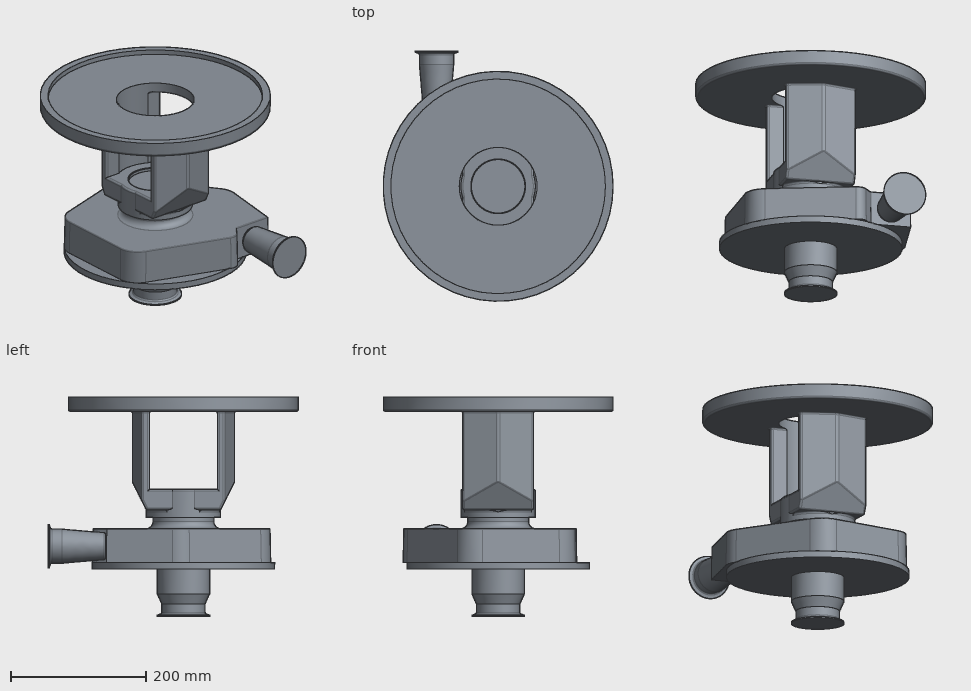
import math

import cadquery as cq


PICK_MARGIN = 1.0

INLET_CONE_BOTTOM = 18.5
INLET_CONE_TOP = 33.5
BACKPLATE_BOTTOM = 70.0
CASING_BOTTOM = 79.5
CASING_TOP = 129.7
NECK_FLARE_TOP = 140.0
COLLAR_BOTTOM = 146.5
YOKE_BOTTOM = 157.5
YOKE_FLOOR = 188.0
PLATE_BOTTOM = 303.0
PLATE_TOP = 324.5

PLATE_DIAMETER = 340.0
PLATE_RECESS_DIAMETER = 317.0
PLATE_RECESS_DEPTH = 7.0
PLATE_BORE_DIAMETER = 115.0
PLATE_EDGE_FILLET = 3.0

YOKE_HALF_WIDTH = 52.5
YOKE_SIDE_Y = 61.0
YOKE_RIDGE_Y = 76.0
YOKE_FOOT_Y = 55.0
YOKE_SLOPE_RISE = 2.0
WINDOW_HALF_WIDTH = 50.0
YOKE_RIDGE_FILLET = 10.0
YOKE_EDGE_FILLET = 3.0
LEG_ROOT_FILLET = 2.5

COLLAR_DIAMETER = 110.0
NECK_DIAMETER = 90.5
SHAFT_RECESS_DIAMETER = 79.0
SHAFT_RECESS_DEPTH = 5.0
SHAFT_RECESS_CHAMFER = 1.0

PENTAGON_APOTHEM = 115.3
STEP_FACE_APOTHEM = 118.0
OUTLET_FACE_Y = 114.0
VOLUTE_APOTHEM = 140.7
VOLUTE_ANGLE = 170.0
FIRST_FACE_ANGLE = 215.0
PENTAGON_STEP = 72.0
CASING_DRAFT = 1.0
CASING_CORNER_FILLET = 33.0
OUTLET_CORNER_FILLET = 15.0
CASING_TOP_FILLET = 1.0
BACKPLATE_DIAMETER = 270.0

FLANGE_RIM = 1.8
FLANGE_BEVEL_ANGLE = 20.0
FLANGE_ROOT_FILLET = 2.5
INLET_DIAMETER = 78.0
INLET_NECK_DIAMETER = 64.5
INLET_FLANGE_DIAMETER = 78.0
OUTLET_X = -91.0
OUTLET_Z = 103.8
OUTLET_END_Y = 200.0
OUTLET_FLANGE_DIAMETER = 64.0
OUTLET_PIPE_DIAMETER = 51.0
OUTLET_CONE_START_Y = 179.7
OUTLET_TIP_Y = 115.5
OUTLET_TIP_DIAMETER = 40.0
OUTLET_TIP_ROUND = 2.0
OUTLET_EMBED = 15.0


def disc(diameter, bottom, top):
    """Cylinder on the shaft axis."""
    return cq.Workplane("XY").workplane(offset=bottom).circle(diameter / 2).extrude(top - bottom)


def mounting_plate():
    plate = disc(PLATE_DIAMETER, PLATE_BOTTOM, PLATE_TOP).faces("<Z").edges().fillet(PLATE_EDGE_FILLET)
    return plate.cut(disc(PLATE_RECESS_DIAMETER, PLATE_TOP - PLATE_RECESS_DEPTH, PLATE_TOP))


def yoke():
    """Six-sided column with sloping undersides."""
    half_outline = [(YOKE_HALF_WIDTH, YOKE_SIDE_Y), (0, YOKE_RIDGE_Y), (-YOKE_HALF_WIDTH, YOKE_SIDE_Y)]
    other_half = [(-x, -y) for x, y in half_outline]
    column = (
        cq.Workplane("XY").workplane(offset=YOKE_BOTTOM)
        .polyline(half_outline + other_half).close()
        .extrude(PLATE_BOTTOM - YOKE_BOTTOM)
    )
    slope_top = YOKE_BOTTOM + (YOKE_RIDGE_Y - YOKE_FOOT_Y) * YOKE_SLOPE_RISE
    silhouette = (
        cq.Workplane("YZ")
        .polyline([
            (-YOKE_FOOT_Y, YOKE_BOTTOM), (YOKE_FOOT_Y, YOKE_BOTTOM),
            (YOKE_RIDGE_Y, slope_top), (YOKE_RIDGE_Y, PLATE_BOTTOM),
            (-YOKE_RIDGE_Y, PLATE_BOTTOM), (-YOKE_RIDGE_Y, slope_top),
        ]).close()
        .extrude(YOKE_HALF_WIDTH, both=True)
    )
    body = column.intersect(silhouette)
    ridge_half_width = YOKE_RIDGE_FILLET / 2
    ridges = cq.selectors.BoxSelector(
        (-ridge_half_width, -YOKE_RIDGE_Y - PICK_MARGIN, slope_top + PICK_MARGIN),
        (ridge_half_width, YOKE_RIDGE_Y + PICK_MARGIN, PLATE_BOTTOM - PICK_MARGIN))
    body = body.edges(ridges).fillet(YOKE_RIDGE_FILLET)
    below_plate = cq.selectors.BoxSelector(
        (-YOKE_HALF_WIDTH - PICK_MARGIN, -YOKE_RIDGE_Y - PICK_MARGIN, YOKE_BOTTOM - PICK_MARGIN),
        (YOKE_HALF_WIDTH + PICK_MARGIN, YOKE_RIDGE_Y + PICK_MARGIN, PLATE_BOTTOM - PICK_MARGIN))
    return body.edges(below_plate - ridges).fillet(YOKE_EDGE_FILLET)


def collar():
    return disc(COLLAR_DIAMETER, COLLAR_BOTTOM, YOKE_FLOOR)


def collar_root_fillet():
    """Concave round under the yoke, running round the collar."""
    radius = COLLAR_DIAMETER / 2
    bottom = YOKE_BOTTOM - YOKE_EDGE_FILLET
    diagonal = YOKE_EDGE_FILLET * math.sqrt(0.5)
    flare = (
        cq.Workplane("XZ").moveTo(0, bottom).lineTo(radius, bottom)
        .threePointArc(
            (radius + YOKE_EDGE_FILLET - diagonal, bottom + diagonal),
            (radius + YOKE_EDGE_FILLET, YOKE_BOTTOM))
        .lineTo(0, YOKE_BOTTOM).close().revolve(360, (0, 0), (0, 1))
    )
    foot = cq.Workplane("XY").workplane(offset=bottom).rect(
        2 * (YOKE_HALF_WIDTH - YOKE_EDGE_FILLET), 2 * YOKE_FOOT_Y
    ).extrude(YOKE_EDGE_FILLET)
    return flare.intersect(foot)


def upper_frame():
    """Plate, yoke and collar with the window through X; its lower and side edges are rounded."""
    window_height = PLATE_BOTTOM - YOKE_FLOOR
    window = cq.Workplane("XY").workplane(offset=YOKE_FLOOR).rect(
        PLATE_DIAMETER, 2 * WINDOW_HALF_WIDTH).extrude(window_height)
    legs = yoke().union(collar()).cut(window)
    window_edges = cq.selectors.BoxSelector(
        (-COLLAR_DIAMETER, -WINDOW_HALF_WIDTH - PICK_MARGIN, YOKE_FLOOR - PICK_MARGIN),
        (COLLAR_DIAMETER, WINDOW_HALF_WIDTH + PICK_MARGIN, PLATE_BOTTOM - PICK_MARGIN))
    legs = legs.edges(window_edges).edges("not(|X)").fillet(YOKE_EDGE_FILLET)
    frame = legs.union(mounting_plate())
    root_edges = cq.selectors.BoxSelector(
        (-YOKE_HALF_WIDTH - PICK_MARGIN, -YOKE_RIDGE_Y, PLATE_BOTTOM - PICK_MARGIN),
        (YOKE_HALF_WIDTH + PICK_MARGIN, YOKE_RIDGE_Y, PLATE_BOTTOM + PICK_MARGIN))
    frame = frame.edges(root_edges).fillet(LEG_ROOT_FILLET)
    return frame.union(collar_root_fillet())


def face_crossing(first, second):
    """Corner point of two upright faces, each given as (normal angle, distance from the axis)."""
    first_angle, first_distance = math.radians(first[0]), first[1]
    second_angle, second_distance = math.radians(second[0]), second[1]
    turn = math.sin(second_angle - first_angle)
    x = (first_distance * math.sin(second_angle) - second_distance * math.sin(first_angle)) / turn
    y = (second_distance * math.cos(first_angle) - first_distance * math.cos(second_angle)) / turn
    return x, y


def casing():
    """Drafted pentagon with the outlet block on its -X +Y side."""
    faces = [(FIRST_FACE_ANGLE + PENTAGON_STEP * i, PENTAGON_APOTHEM) for i in range(4)]
    faces += [(FIRST_FACE_ANGLE + PENTAGON_STEP * 4, STEP_FACE_APOTHEM)]
    faces += [(90, OUTLET_FACE_Y), (VOLUTE_ANGLE, VOLUTE_APOTHEM)]
    corners = [face_crossing(faces[i - 1], faces[i]) for i in range(len(faces))]
    block = (
        cq.Workplane("XY").workplane(offset=CASING_BOTTOM)
        .polyline(corners).close()
        .extrude(CASING_TOP - CASING_BOTTOM, taper=CASING_DRAFT)
    )
    middle = (CASING_BOTTOM + CASING_TOP) / 2
    corner_fillets = 4 * [CASING_CORNER_FILLET] + [OUTLET_CORNER_FILLET]
    for (x, y), radius in zip(corners, corner_fillets):
        corner_edge = cq.selectors.NearestToPointSelector((x, y, middle))
        block = block.edges(corner_edge).fillet(radius)
    return block.faces(">Z").edges().fillet(CASING_TOP_FILLET)


def backplate():
    return disc(BACKPLATE_DIAMETER, BACKPLATE_BOTTOM, CASING_BOTTOM)


def neck():
    """Bearing neck flaring into the casing top."""
    radius = NECK_DIAMETER / 2
    flare = NECK_FLARE_TOP - CASING_TOP
    reach = flare * (1 - math.sqrt(0.5))
    return (
        cq.Workplane("XZ").moveTo(0, CASING_TOP).lineTo(radius + flare, CASING_TOP)
        .threePointArc((radius + reach, CASING_TOP + reach), (radius, NECK_FLARE_TOP))
        .lineTo(radius, COLLAR_BOTTOM).lineTo(0, COLLAR_BOTTOM).close()
        .revolve(360, (0, 0), (0, 1))
    )


def flanged_pipe(flange_diameter, pipe_diameter, wall):
    """Solid pipe rising from Z = 0: a bevelled clamp flange, then the given wall points (radius, height)."""
    flange_radius = flange_diameter / 2
    pipe_radius = pipe_diameter / 2
    bevel_height = (flange_radius - pipe_radius) * math.tan(math.radians(FLANGE_BEVEL_ANGLE))
    root_height = FLANGE_RIM + bevel_height
    flange = [(0, 0), (flange_radius, 0), (flange_radius, FLANGE_RIM), (pipe_radius, root_height)]
    end_height = wall[-1][1]
    pipe = (
        cq.Workplane("XZ").polyline(flange + wall + [(0, end_height)]).close()
        .revolve(360, (0, 0), (0, 1))
    )
    root = cq.selectors.BoxSelector(
        (-pipe_radius - PICK_MARGIN, -PICK_MARGIN, root_height - PICK_MARGIN),
        (pipe_radius + PICK_MARGIN, PICK_MARGIN, root_height + PICK_MARGIN))
    return pipe.edges("%CIRCLE").edges(root).fillet(FLANGE_ROOT_FILLET)


def inlet():
    """Inlet pipe below the backplate, necking down to its clamp flange."""
    wall = [
        (INLET_NECK_DIAMETER / 2, INLET_CONE_BOTTOM),
        (INLET_DIAMETER / 2, INLET_CONE_TOP),
        (INLET_DIAMETER / 2, BACKPLATE_BOTTOM),
    ]
    return flanged_pipe(INLET_FLANGE_DIAMETER, INLET_NECK_DIAMETER, wall)


def outlet():
    """Outlet pipe along +Y, tapering from its clamp flange to a rounded tip on the casing."""
    tip_radius = OUTLET_TIP_DIAMETER / 2
    tip_depth = OUTLET_END_Y - OUTLET_TIP_Y
    wall = [
        (OUTLET_PIPE_DIAMETER / 2, OUTLET_END_Y - OUTLET_CONE_START_Y),
        (tip_radius, tip_depth),
    ]
    pipe = flanged_pipe(OUTLET_FLANGE_DIAMETER, OUTLET_PIPE_DIAMETER, wall)
    pipe = pipe.faces(">Z").edges().fillet(OUTLET_TIP_ROUND)
    spigot_radius = tip_radius - OUTLET_TIP_ROUND
    spigot = cq.Workplane("XY").workplane(offset=tip_depth).circle(spigot_radius).extrude(OUTLET_EMBED)
    placed = pipe.union(spigot).rotate((0, 0, 0), (1, 0, 0), 90)
    return placed.translate((OUTLET_X, OUTLET_END_Y, OUTLET_Z))


def plate_bore():
    """Bore through the plate that also hollows the legs down to the yoke floor."""
    return disc(PLATE_BORE_DIAMETER, YOKE_FLOOR, PLATE_TOP)


def shaft_recess():
    """Shallow recess with a chamfered mouth in the yoke floor."""
    radius = SHAFT_RECESS_DIAMETER / 2
    mouth_radius = radius + SHAFT_RECESS_CHAMFER
    bottom = YOKE_FLOOR - SHAFT_RECESS_DEPTH
    profile = [
        (0, bottom),
        (radius, bottom),
        (radius, YOKE_FLOOR - SHAFT_RECESS_CHAMFER),
        (mouth_radius, YOKE_FLOOR),
        (0, YOKE_FLOOR),
    ]
    return cq.Workplane("XZ").polyline(profile).close().revolve(360, (0, 0), (0, 1))


result = upper_frame().cut(plate_bore()).cut(shaft_recess())
for section in (neck(), casing(), backplate(), inlet(), outlet()):
    result = result.union(section)